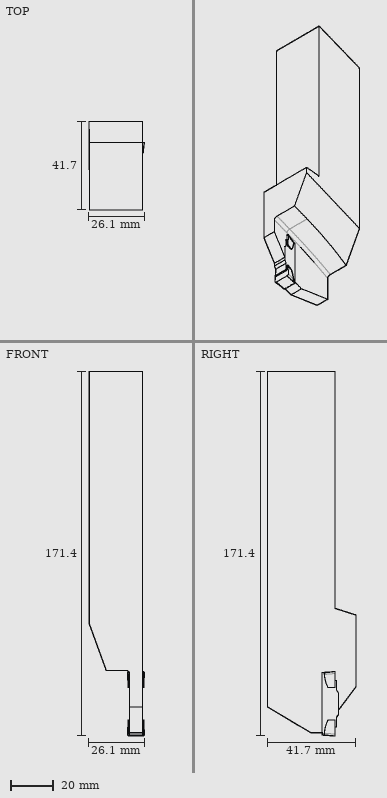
import cadquery as cq
import math


total_height = 171.35
total_depth = 41.7
shank_width = 25.17
shank_depth = 31.85
heel_step_top_z = 60.05
heel_step_low_z = 56.9
left_face_lean = 0.26
bevel_top_z = 53.05
bevel_angle = 20.0

shoulder_z = 33.5
shoulder_radius = 190.0
shoulder_fillet = 1.6

blade_width = 6.2
blade_bottom_z = 1.5
blade_bottom_back_y = 20.5
blade_back_corner_z = 13.7
blade_front_corner_z = 23.2
blade_front_angle = 53.3

insert_height = 30.35
insert_mid_z = insert_height / 2
insert_width = 8.076
insert_base_y = 25.75
edge_y = shank_depth
ridge_y = 32.5
crown_y = 33.5
end_relief = 0.45
edge_land = 4.2
ridge_end = 8.8
crown_start = 10.2
corner_radius = 0.9

head_length = 7.6
head_base_y = 26.7
head_shoulder_y = 28.5
head_arc_y = 27.3
head_arc_z = 4.4
head_base_narrowing = 1.2
head_inner_narrowing = 0.7

blade_left_x = shank_width - blade_width
insert_center_x = shank_width - blade_width / 2


def along_x(outline, start_x, width):
    """Extrude a closed YZ outline along +X from start_x."""
    return outline.extrude(width).translate((start_x, 0, 0))


def make_holder_block():
    """Side outline of shank, heel and blade, at full width."""
    front_drop = blade_front_corner_z - blade_bottom_z
    front_run_out_y = total_depth - front_drop / math.tan(math.radians(blade_front_angle))
    outline = cq.Workplane("YZ").polyline([
        (0, total_height),
        (shank_depth, total_height),
        (shank_depth, heel_step_top_z),
        (total_depth, heel_step_low_z),
        (total_depth, blade_front_corner_z),
        (front_run_out_y, blade_bottom_z),
        (blade_bottom_back_y, blade_bottom_z),
        (0, blade_back_corner_z),
    ]).close()
    return along_x(outline, 0, shank_width)


def make_blade_relief():
    """Material removed beside the blade, with a rounded inner corner under the shoulder."""
    def drop(y):
        return shoulder_radius - math.sqrt(shoulder_radius**2 - (shank_depth - y) ** 2)

    outline = (
        cq.Workplane("YZ")
        .moveTo(total_depth, 0)
        .lineTo(total_depth, shoulder_z)
        .lineTo(shank_depth, shoulder_z)
        .threePointArc((shank_depth / 2, shoulder_z - drop(shank_depth / 2)), (0, shoulder_z - drop(0)))
        .lineTo(0, 0)
        .close()
    )
    relief = along_x(outline, 0, blade_left_x)
    inner_top_edges = relief.faces(">X").edges("not(|Z or <Z)")
    return inner_top_edges.fillet(shoulder_fillet)


def make_left_lean():
    """Thin wedge that leans the left face inwards towards the back."""
    return (
        cq.Workplane("XY")
        .polyline([(0, 0), (left_face_lean, 0), (0, total_depth)])
        .close()
        .extrude(total_height)
    )


def make_bevel():
    """Wedge under the slanted left side above the shoulder."""
    run = bevel_top_z * math.tan(math.radians(bevel_angle))
    return (
        cq.Workplane("XZ")
        .polyline([(0, bevel_top_z), (run, 0), (0, 0)])
        .close()
        .extrude(-total_depth)
    )


def make_insert_core():
    """Insert body as wide as the blade, with relieved ends and a stepped top."""
    lower = [
        (insert_base_y, end_relief),
        (edge_y, 0),
        (edge_y, edge_land),
        (ridge_y, edge_land),
        (ridge_y, ridge_end),
        (crown_y, crown_start),
    ]
    upper = [(y, insert_height - z) for y, z in reversed(lower)]
    outline = cq.Workplane("YZ").polyline(lower + upper).close()
    return along_x(outline, blade_left_x, blade_width)


def make_head_flanks():
    """Wedge whose flat sides give the head its side relief, with rounded cutting corners."""
    def section(y, bottom_z, bottom_width):
        half_bottom = bottom_width / 2
        half_top = (bottom_width - head_inner_narrowing) / 2
        return cq.Wire.makePolygon([
            cq.Vector(insert_center_x + x, y, z)
            for x, z in [
                (-half_bottom, bottom_z),
                (half_bottom, bottom_z),
                (half_top, head_length),
                (-half_top, head_length),
            ]
        ], close=True)

    base = section(head_base_y, end_relief, insert_width - head_base_narrowing)
    edge = section(edge_y, 0, insert_width)
    wedge = cq.Workplane(cq.Solid.makeLoft([base, edge], True))
    return wedge.faces("<Z").edges("not |X").fillet(corner_radius)


def make_lower_head():
    """D-shaped cutting head, narrowing towards its base and towards the insert middle."""
    side = (
        cq.Workplane("YZ")
        .moveTo(edge_y, 0)
        .lineTo(edge_y, head_length)
        .lineTo(head_shoulder_y, head_length)
        .threePointArc((head_arc_y, head_arc_z), (head_base_y, end_relief))
        .close()
    )
    head = along_x(side, insert_center_x - insert_width / 2, insert_width)
    return head.intersect(make_head_flanks())


def make_insert():
    lower_head = make_lower_head()
    upper_head = lower_head.mirror("XY", (0, 0, insert_mid_z))
    return make_insert_core().union(lower_head).union(upper_head)


insert = make_insert()
holder = (
    make_holder_block()
    .cut(make_blade_relief())
    .cut(make_left_lean())
    .cut(make_bevel())
    .cut(insert)
)

result = cq.Compound.makeCompound([holder.val(), insert.val()])